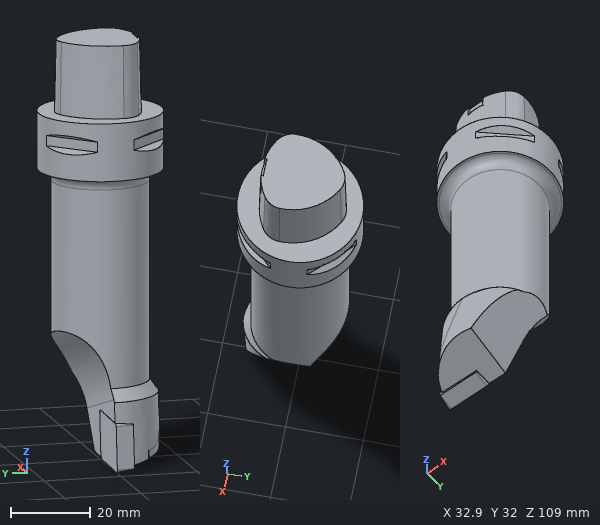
import cadquery as cq
import math

total_height = 109.0
collar_top = 90.3
collar_bottom = 75.3
head_cone_top = 20.9
head_cone_bottom = 17.8

collar_radius = 16.0
shank_radius = 25.0 / 2
neck_fillet = 2.9

lobe_reach = 11.8
flank_reach = 10.2
lobe_radius = 5.7
coupling_taper = 1.2
notch_width = 4.8
notch_height = 3.4
notch_floor = 9.0

slot_count = 4
slot_floor_radius = 14.2
slot_floor_height = 2.6
slot_side_angle = 30.0
slot_center_z = 84.3

head_radius = 14.7
head_end_radius = 15.2
side_lean = 4.6
head_end = -3.3
relief_top_center = (-1.9, -0.5)
relief_top_radius = 14.4
relief_end_center = (-2.3, -1.3)
relief_end_radius = 12.8
relief_left_x = -12.5
back_angle = 30.0
back_start_z = 22.5
end_rise_x = 5.0
end_rise_y = 8.0
end_offset = 0.5

flute_radius = 21.8
flute_tangent_z = 14.0
flute_axis_tilt = 17.5
rake_angle = 4.5
cutter_size = 87.2

nose_x = -17.0
nose_z = -0.1
insert_edge = 12.6
insert_angle = 80.0
insert_thickness = 4.8
insert_relief = 7.0
nose_radius = 0.8


def polar(radius, degrees, center=(0.0, 0.0)):
    """Point at a radius and angle about a center."""
    angle = math.radians(degrees)
    return (center[0] + radius * math.cos(angle), center[1] + radius * math.sin(angle))


def make_coupling():
    """Tapered trilobe with tangent lobe and flank arcs, and its key notch."""
    lobe_offset = lobe_reach - lobe_radius
    gap = flank_reach - lobe_radius
    flank_offset = (lobe_offset**2 - gap**2) / (2 * gap - lobe_offset)
    lobe_x, lobe_y = polar(lobe_offset, -30)
    half_flank = math.degrees(math.atan2(lobe_x, flank_offset - lobe_y))
    half_lobe = 60 - half_flank
    profile = cq.Workplane("XY").workplane(offset=collar_top)
    profile = profile.moveTo(*polar(lobe_radius, 90 - half_lobe, polar(lobe_offset, 90)))
    for lobe in (90, 210, 330):
        center = polar(lobe_offset, lobe)
        next_center = polar(lobe_offset, lobe + 120)
        profile = profile.threePointArc(
            polar(lobe_reach, lobe), polar(lobe_radius, lobe + half_lobe, center))
        profile = profile.threePointArc(
            polar(flank_reach, lobe + 60), polar(lobe_radius, lobe + 120 - half_lobe, next_center))
    coupling = profile.close().extrude(total_height - collar_top, taper=coupling_taper)
    notch = cq.Workplane("XY").box(
        notch_width, lobe_reach, notch_height, centered=(True, False, False)
    ).translate((0, -notch_floor - lobe_reach, total_height - notch_height))
    return coupling.cut(notch)


def make_shank():
    """Collar, neck fillet, shank and flared cone, turned about Z."""
    fillet_center = (shank_radius + neck_fillet, collar_bottom - neck_fillet)
    return (
        cq.Workplane("XZ")
        .moveTo(0, head_cone_bottom)
        .lineTo(head_radius, head_cone_bottom)
        .lineTo(shank_radius, head_cone_top)
        .lineTo(shank_radius, collar_bottom - neck_fillet)
        .threePointArc(polar(neck_fillet, 135, fillet_center), (shank_radius + neck_fillet, collar_bottom))
        .lineTo(collar_radius, collar_bottom)
        .lineTo(collar_radius, collar_top)
        .lineTo(0, collar_top)
        .close()
        .revolve(360, (0, 0, 0), (0, 1, 0))
    )


def make_gripper_slots():
    """Flat-floored slots with sloping sides, on the diagonals of the collar."""
    depth = 2 * (collar_radius - slot_floor_radius)
    half_floor = slot_floor_height / 2
    half_mouth = half_floor + depth * math.tan(math.radians(slot_side_angle))
    slot = (
        cq.Workplane("XZ")
        .polyline([
            (slot_floor_radius, slot_center_z - half_floor),
            (slot_floor_radius + depth, slot_center_z - half_mouth),
            (slot_floor_radius + depth, slot_center_z + half_mouth),
            (slot_floor_radius, slot_center_z + half_floor),
        ])
        .close()
        .extrude(collar_radius, both=True)
    )
    slots = cq.Workplane("XY")
    for index in range(slot_count):
        slots = slots.add(slot.rotate((0, 0, 0), (0, 0, 1), 45 + index * 360 / slot_count))
    return slots.combine()


def make_relief_cut():
    """Space outside an oblique cone, which relieves the heel of the flare and head."""
    height = head_cone_top - head_end
    cone = (
        cq.Workplane("XY").workplane(offset=head_cone_top)
        .moveTo(*relief_top_center).circle(relief_top_radius)
        .workplane(offset=-height)
        .moveTo(*relief_end_center).circle(relief_end_radius)
        .loft(ruled=True)
    )
    heel = cq.Workplane("XY").box(
        cutter_size, cutter_size, height, centered=(False, False, False)
    ).translate((relief_left_x, -cutter_size, head_end))
    return heel.cut(cone)


def make_head():
    """Widening head below the flared cone, leaning so that its -X side follows the insert."""
    side_shift = (head_cone_bottom - head_end) * math.tan(math.radians(side_lean))
    end_center_x = head_end_radius - head_radius - side_shift
    return (
        cq.Workplane("XY").workplane(offset=head_cone_bottom).circle(head_radius)
        .workplane(offset=head_end - head_cone_bottom)
        .moveTo(end_center_x, 0).circle(head_end_radius)
        .loft(ruled=True)
    )


def make_back_cut():
    """Half space beyond the sloping plane on the +X side."""
    return (
        cq.Workplane("XY").box(cutter_size, cutter_size, cutter_size, centered=(False, True, True))
        .rotate((0, 0, 0), (0, 1, 0), back_angle)
        .translate((shank_radius, 0, back_start_z))
    )


def make_end_cut():
    """Half space below the end face, which rises toward +X and -Y."""
    return (
        cq.Workplane("XY").box(cutter_size, cutter_size, cutter_size)
        .translate((0, 0, -cutter_size / 2))
        .rotate((0, 0, 0), (1, 0, 0), -end_rise_y)
        .rotate((0, 0, 0), (0, 1, 0), -end_rise_x)
        .translate((nose_x, 0, end_offset))
    )


def make_flute():
    """Flat rake floor that runs out through a tangent cylinder."""
    flute = (
        cq.Workplane("YZ")
        .moveTo(0, -cutter_size)
        .lineTo(0, 0)
        .threePointArc(polar(flute_radius, 135, (flute_radius, 0)), (flute_radius, flute_radius))
        .lineTo(flute_radius, -cutter_size)
        .close()
        .extrude(cutter_size / 2, both=True)
        .rotate((0, 0, 0), (0, 1, 0), flute_axis_tilt)
        .translate((0, 0, flute_tangent_z))
    )
    return flute.rotate((nose_x, 0, 0), (nose_x, 0, 1), rake_angle)


def make_insert():
    """Rhombic cutting insert, its rake face level with the flute floor."""
    side_angle = 90 - side_lean
    low_angle = side_angle - insert_angle
    low_x, low_z = polar(insert_edge, low_angle)
    side_x, side_z = polar(insert_edge, side_angle)
    outline = (
        cq.Sketch()
        .polygon([(0, 0), (low_x, low_z), (low_x + side_x, low_z + side_z), (side_x, side_z), (0, 0)])
        .vertices()
        .fillet(nose_radius)
    )
    return (
        cq.Workplane("XZ")
        .placeSketch(outline)
        .extrude(insert_thickness, taper=insert_relief)
        .rotate((0, 0, 0), (0, 0, 1), rake_angle)
        .translate((nose_x, 0, nose_z))
    )


def make_holder(insert):
    """Coupling, collar, shank and head in one piece, with a pocket for the insert."""
    lower = make_shank().union(make_head())
    cutters = (make_gripper_slots(), make_relief_cut(), make_back_cut(), make_end_cut(), make_flute())
    for cutter in cutters:
        lower = lower.cut(cutter)
    return lower.union(make_coupling()).cut(insert)


insert = make_insert()
holder = make_holder(insert)

result = cq.Compound.makeCompound([holder.val(), insert.val()])